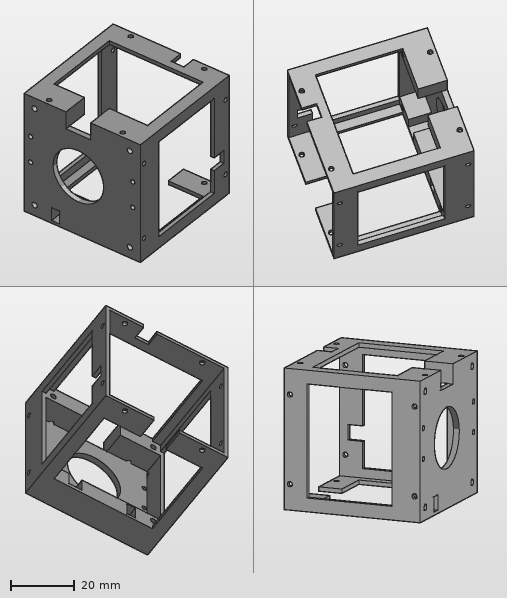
import cadquery as cq

width = 46.2
depth = 47.0
front_thickness = 2.0
wall_thickness = 1.45
half = width / 2

rail = 4.5
front_strip = 9.8
back_strip = 8.0
window_back = depth - back_strip
window_width = width - 2 * rail

block_height = 6.65

lens_diameter = 20.0
lens_x = -1.55
corner_hole_diameter = 2.05
corner_hole_inset = 4.2
small_hole_diameter = 1.65
side_hole_x = 20.3
side_hole_offset = -0.25
side_hole_z = (-2.75, 7.25)
wall_hole_inset = 1.97
wall_hole_half_spacing = 14.6

top_front_notch_width = 9.8
front_slot_x = (-12.13, -8.95)
front_slot_z = (-21.95, -16.95)
cable_notch = 5.05
top_back_notch_x = 3.75
bottom_gap_x = (-4.8, 4.85)
side_notch_bottom_z = -9.75
bottom_block_notch_x = 8.05


def block(x_range, y_range, z_range):
    """Axis-aligned box between the given limits."""
    low, high = zip(x_range, y_range, z_range)
    size = [b - a for a, b in zip(low, high)]
    return cq.Workplane("XY").box(*size, centered=False).translate(low)


def front_holes(diameter, points):
    """Cylinders through the front plate and the blocks at (x, z) points."""
    return (
        cq.Workplane("XZ")
        .pushPoints(points)
        .circle(diameter / 2)
        .extrude(-front_strip)
    )


def wall_holes(plane, start, length, rows):
    """Small cylinders running along the normal of the plane, in rows at the given Y values."""
    across = (-wall_hole_half_spacing, wall_hole_half_spacing)
    if plane == "XY":
        points = [(a, y) for a in across for y in rows]
    else:
        points = [(y, a) for a in across for y in rows]
    return (
        cq.Workplane(plane)
        .workplane(offset=start)
        .pushPoints(points)
        .circle(small_hole_diameter / 2)
        .extrude(length)
    )


full = (-half, half)
inner = (-half + wall_thickness, half - wall_thickness)
result = block(full, (0, depth), full)
result = result.cut(block(inner, (front_thickness, depth), inner))

window_y = (front_strip, window_back)
window_span = (-window_width / 2, window_width / 2)
result = result.cut(block(window_span, window_y, full))
result = result.cut(block(full, window_y, window_span))

block_y = (front_thickness, front_strip)
result = result.union(block(inner, block_y, (half - block_height, half)))
result = result.union(block(inner, block_y, (-half, block_height - half)))

corner = half - corner_hole_inset
corner_points = [(x, z) for x in (-corner, corner) for z in (-corner, corner)]
side_points = [
    (side_hole_offset + side * side_hole_x, z) for side in (-1, 1) for z in side_hole_z
]
result = result.cut(front_holes(lens_diameter, [(lens_x, 0)]))
result = result.cut(front_holes(corner_hole_diameter, corner_points))
result = result.cut(front_holes(small_hole_diameter, side_points))

notch_x = (lens_x - top_front_notch_width / 2, lens_x + top_front_notch_width / 2)
result = result.cut(block(notch_x, (0, front_strip), (half - block_height, half)))

result = result.cut(block(front_slot_x, (0, front_strip), front_slot_z))

result = result.cut(
    block(
        (bottom_block_notch_x, bottom_block_notch_x + cable_notch),
        block_y,
        (inner[0], block_height - half),
    )
)

result = result.cut(
    block(
        (top_back_notch_x, top_back_notch_x + cable_notch),
        (depth - cable_notch, depth),
        (inner[1], half),
    )
)

back_row = depth - wall_hole_inset
front_row = wall_hole_inset
result = result.cut(wall_holes("XY", -half, width, [back_row]))
result = result.cut(wall_holes("YZ", -half, width, [back_row]))
front_bores = wall_holes("XY", half - block_height, block_height, [front_row])
front_bores = front_bores.union(wall_holes("YZ", -half, width, [front_row]))
plate_core = block(inner, (0, front_thickness), inner)
result = result.cut(front_bores.cut(plate_core))

result = result.cut(block(bottom_gap_x, (window_back, depth), (-half, inner[0])))

result = result.cut(
    block(
        (inner[1], half),
        (window_back, window_back + cable_notch),
        (side_notch_bottom_z, side_notch_bottom_z + cable_notch),
    )
)